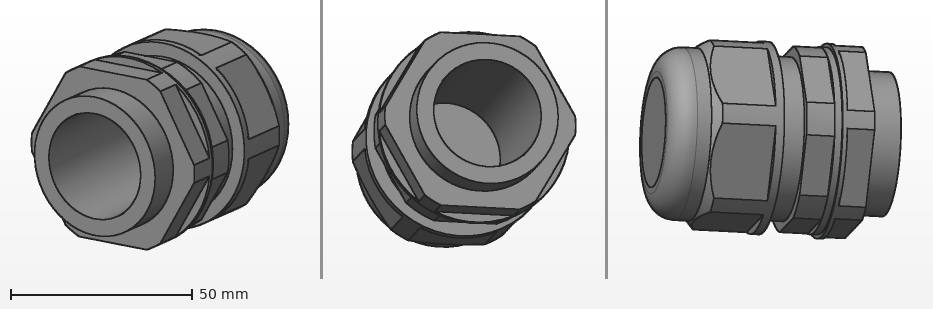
import cadquery as cq
import math


LOCKNUT_START = 9.05
LOCKNUT_FLATS_END = 16.7
WASHER_START = 18.0
HEX_START = 20.05
NECK_START = 28.0
DOME_NUT_START = 34.45
DOME_NUT_FLATS_START = 36.9
CONE_START = 51.95
CONE_END = 54.4
DOME_START = 58.5
TOTAL_LENGTH = 65.5

BORE_RADIUS = 15.2
THREAD_RADIUS = 20.0
NECK_RADIUS = 22.7
DOME_RADIUS = 23.9
BODY_CORNER_RADIUS = 25.9
WASHER_RADIUS = 25.95
DOME_NUT_CORNER_RADIUS = 26.65
LOCKNUT_CORNER_RADIUS = 27.0

HEX_ACROSS_FLATS = 48.7
LOCKNUT_ACROSS_FLATS = 49.1

DOME_FILLET = TOTAL_LENGTH - DOME_START
NUT_CAVITY_END = DOME_START
SEAL_START = CONE_START


def cylinder(radius, start, end):
    """Solid cylinder on the Y axis between two stations."""
    plane = cq.Workplane("XZ", origin=(0, start, 0))
    return plane.circle(radius).extrude(start - end)


def hexagon(across_flats, start, end):
    """Hexagonal prism on the Y axis, with corners on X and flats facing +Z and -Z."""
    across_corners = across_flats / math.cos(math.radians(30))
    plane = cq.Workplane("XZ", origin=(0, start, 0))
    return plane.polygon(6, across_corners).extrude(start - end)


def rounded_hexagon(across_flats, corner_radius, start, end):
    """Hexagonal prism whose corners are turned down to a cylinder."""
    return hexagon(across_flats, start, end).intersect(cylinder(corner_radius, start, end))


def make_body():
    """Threaded tube, wrench hexagon and neck, bored right through."""
    thread = cylinder(THREAD_RADIUS, 0, HEX_START)
    wrench_hexagon = rounded_hexagon(HEX_ACROSS_FLATS, BODY_CORNER_RADIUS, HEX_START, NECK_START)
    neck = cylinder(NECK_RADIUS, NECK_START, NUT_CAVITY_END)
    bore = cylinder(BORE_RADIUS, 0, NUT_CAVITY_END)
    return thread.union(wrench_hexagon).union(neck).cut(bore)


def make_washer():
    """Flat sealing ring between the body hexagon and the locknut."""
    ring = cylinder(WASHER_RADIUS, WASHER_START, HEX_START)
    return ring.cut(cylinder(THREAD_RADIUS, WASHER_START, HEX_START))


def make_locknut():
    """Flanged hexagon nut on the threaded end."""
    flats = rounded_hexagon(
        LOCKNUT_ACROSS_FLATS, LOCKNUT_CORNER_RADIUS, LOCKNUT_START, LOCKNUT_FLATS_END
    )
    flange = cylinder(LOCKNUT_CORNER_RADIUS, LOCKNUT_FLATS_END, WASHER_START)
    hole = cylinder(THREAD_RADIUS, LOCKNUT_START, WASHER_START)
    return flats.union(flange).cut(hole)


def make_dome_nut():
    """Flanged hexagon nut with a chamfering cone and a rounded end, fitted over the neck."""
    turned_profile = (
        cq.Workplane("XY")
        .moveTo(0, DOME_NUT_START)
        .lineTo(DOME_NUT_CORNER_RADIUS, DOME_NUT_START)
        .lineTo(DOME_NUT_CORNER_RADIUS, CONE_START)
        .lineTo(DOME_RADIUS, CONE_END)
        .lineTo(DOME_RADIUS, DOME_START)
        .radiusArc((DOME_RADIUS - DOME_FILLET, TOTAL_LENGTH), -DOME_FILLET)
        .lineTo(0, TOTAL_LENGTH)
        .close()
    )
    turned = turned_profile.revolve(360, (0, 0, 0), (0, 1, 0))
    flange = cylinder(DOME_NUT_CORNER_RADIUS, DOME_NUT_START, DOME_NUT_FLATS_START)
    flats = hexagon(HEX_ACROSS_FLATS, DOME_NUT_FLATS_START, TOTAL_LENGTH)
    cavity = cylinder(NECK_RADIUS, DOME_NUT_START, NUT_CAVITY_END)
    opening = cylinder(BORE_RADIUS, NUT_CAVITY_END, TOTAL_LENGTH)
    return turned.intersect(flange.union(flats)).cut(cavity).cut(opening)


def make_seal():
    """Plug that closes the bore of the body and the opening of the dome nut."""
    return cylinder(BORE_RADIUS, SEAL_START, TOTAL_LENGTH)


body = make_body()
washer = make_washer()
locknut = make_locknut()
dome_nut = make_dome_nut()
seal = make_seal()

result = cq.Compound.makeCompound(
    [body.val(), washer.val(), locknut.val(), dome_nut.val(), seal.val()]
)